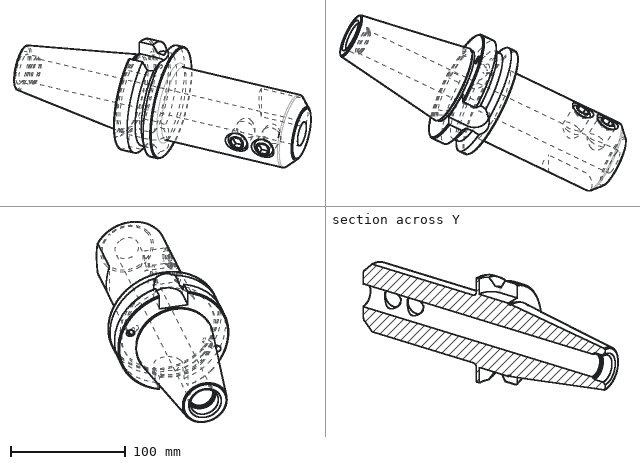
import cadquery as cq
import math


LENGTH = 261.8
FLANGE_RADIUS = 50.0

TAPER_LENGTH = 101.8
TAPER_LARGE_RADIUS = 34.8
TAPER_SLOPE = 7 / 48
TAPER_END_CHAMFER = 0.92
TAPER_BACK_CHAMFER = 0.8

RELIEF_RADIUS = TAPER_LARGE_RADIUS - TAPER_BACK_CHAMFER
FLANGE_START = 104.7
FLANGE_END = 139.8
FLANGE_FRONT_CHAMFER = 1.0
FLANGE_REAR_CHAMFER = 0.8
GROOVE_RADIUS = 42.5
GROOVE_CENTER = 125.1
GROOVE_FLOOR_WIDTH = 5.8
GROOVE_MOUTH_WIDTH = 15.0

SLOT_WIDTH = 25.7
SLOT_FLOOR = 35.3
SLOT_END = 136.1

COOLANT_RADIUS = 3.0
COOLANT_PITCH_RADIUS = 41.5
COOLANT_ANGLE = 20.4
COOLANT_SLANT = 35.0
COOLANT_MOUTH_DEPTH = 2.5
COOLANT_FEED_RADIUS = 2.0
COOLANT_DEPTH = 15.7

NOSE_RADIUS = 32.7
NOSE_ROOT_FILLET = 3.1
NOSE_CONE_LENGTH = 9.7
CONE_ANGLE = math.radians(45)
NOSE_EDGE_FILLET = 2.0
NOSE_TIP_CHAMFER = 0.8

FLAT_HEIGHT = 28.8
FLAT_START = 212.5

BORE_RADIUS = 10.7
PILOT_RADIUS = 12.5
PILOT_DEPTH = 11.5
PILOT_CHAMFER = 2.0
STEP_RADIUS = 11.5
STEP_LENGTH = 1.5

SCREW_POSITIONS = (213.4, 237.7)
SCREW_RADIUS = 8.6
SCREW_CHAMFER = 2.4
SCREW_HEAD_DISTANCE = 32.5
SCREW_TIP_DISTANCE = 11.8
SCREW_COUNTERSINK_RADIUS = 10.5
SCREW_COUNTERSINK_DEPTH = 2.4
HEX_SIDES = 6
HEX_WIDTH = 10.0
HEX_DEPTH = 5.0


def edge_fillet_point(angle):
    """Point (x, radius) on the fillet between nose and cone, at an angle from the nose surface."""
    start = LENGTH - NOSE_CONE_LENGTH - NOSE_EDGE_FILLET * math.tan(CONE_ANGLE / 2)
    x = start + NOSE_EDGE_FILLET * math.sin(angle)
    radius = NOSE_RADIUS - NOSE_EDGE_FILLET * (1 - math.cos(angle))
    return (x, radius)


def holder_blank():
    taper_small_radius = TAPER_LARGE_RADIUS - TAPER_LENGTH * TAPER_SLOPE
    floor_start = GROOVE_CENTER - GROOVE_FLOOR_WIDTH / 2
    floor_end = GROOVE_CENTER + GROOVE_FLOOR_WIDTH / 2
    mouth_start = GROOVE_CENTER - GROOVE_MOUTH_WIDTH / 2
    mouth_end = GROOVE_CENTER + GROOVE_MOUTH_WIDTH / 2
    fillet_end = FLANGE_END + NOSE_ROOT_FILLET
    fillet_bow = NOSE_ROOT_FILLET * (1 - math.sqrt(0.5))
    tip_radius = NOSE_RADIUS - NOSE_CONE_LENGTH
    profile = (
        cq.Workplane("XZ")
        .moveTo(0, 0)
        .lineTo(0, taper_small_radius - TAPER_END_CHAMFER)
        .lineTo(TAPER_END_CHAMFER, taper_small_radius + TAPER_END_CHAMFER * TAPER_SLOPE)
        .lineTo(TAPER_LENGTH, TAPER_LARGE_RADIUS)
        .lineTo(TAPER_LENGTH + TAPER_BACK_CHAMFER, RELIEF_RADIUS)
        .lineTo(FLANGE_START, RELIEF_RADIUS)
        .lineTo(FLANGE_START, FLANGE_RADIUS - FLANGE_FRONT_CHAMFER)
        .lineTo(FLANGE_START + FLANGE_FRONT_CHAMFER, FLANGE_RADIUS)
        .lineTo(mouth_start, FLANGE_RADIUS)
        .lineTo(floor_start, GROOVE_RADIUS)
        .lineTo(floor_end, GROOVE_RADIUS)
        .lineTo(mouth_end, FLANGE_RADIUS)
        .lineTo(FLANGE_END - FLANGE_REAR_CHAMFER, FLANGE_RADIUS)
        .lineTo(FLANGE_END, FLANGE_RADIUS - FLANGE_REAR_CHAMFER)
        .lineTo(FLANGE_END, NOSE_RADIUS + NOSE_ROOT_FILLET)
        .threePointArc(
            (FLANGE_END + fillet_bow, NOSE_RADIUS + fillet_bow),
            (fillet_end, NOSE_RADIUS),
        )
        .lineTo(*edge_fillet_point(0))
        .threePointArc(edge_fillet_point(CONE_ANGLE / 2), edge_fillet_point(CONE_ANGLE))
        .lineTo(LENGTH - NOSE_TIP_CHAMFER, tip_radius + NOSE_TIP_CHAMFER)
        .lineTo(LENGTH, tip_radius - NOSE_TIP_CHAMFER)
        .lineTo(LENGTH, 0)
        .close()
    )
    return profile.revolve(360, (0, 0, 0), (1, 0, 0))


def bore():
    step_end = PILOT_DEPTH + STEP_LENGTH
    return (
        cq.Workplane("XZ")
        .moveTo(0, 0)
        .lineTo(0, PILOT_RADIUS + PILOT_CHAMFER)
        .lineTo(PILOT_CHAMFER, PILOT_RADIUS)
        .lineTo(PILOT_DEPTH, PILOT_RADIUS)
        .lineTo(PILOT_DEPTH, STEP_RADIUS)
        .lineTo(step_end, STEP_RADIUS)
        .lineTo(step_end + STEP_RADIUS - BORE_RADIUS, BORE_RADIUS)
        .lineTo(LENGTH, BORE_RADIUS)
        .lineTo(LENGTH, 0)
        .close()
        .revolve(360, (0, 0, 0), (1, 0, 0))
    )


def drive_slot():
    round_center = SLOT_END - SLOT_WIDTH / 2
    straight_length = round_center - FLANGE_START
    height = FLANGE_RADIUS - SLOT_FLOOR
    straight = cq.Workplane("XY").box(straight_length, SLOT_WIDTH, height, centered=(False, True, False))
    straight = straight.translate((FLANGE_START, 0, SLOT_FLOOR))
    end = cq.Workplane("XY").circle(SLOT_WIDTH / 2).extrude(height).translate((round_center, 0, SLOT_FLOOR))
    return straight.union(end)


def coolant_hole():
    slant = math.radians(COOLANT_SLANT)
    direction = cq.Vector(math.cos(slant), -math.sin(slant), 0)
    mouth = cq.Vector(FLANGE_START, COOLANT_PITCH_RADIUS, 0)
    start = mouth - direction * COOLANT_RADIUS
    mouth_hole = cq.Solid.makeCylinder(COOLANT_RADIUS, COOLANT_MOUTH_DEPTH + COOLANT_RADIUS, start, direction)
    feed_hole = cq.Solid.makeCylinder(COOLANT_FEED_RADIUS, COOLANT_DEPTH, mouth, direction)
    return cq.Workplane(obj=mouth_hole.fuse(feed_hole)).rotate((0, 0, 0), (1, 0, 0), COOLANT_ANGLE)


def balancing_flat():
    depth = NOSE_RADIUS - FLAT_HEIGHT
    return (
        cq.Workplane("XY")
        .moveTo(FLAT_START - depth, NOSE_RADIUS)
        .lineTo(FLAT_START, FLAT_HEIGHT)
        .lineTo(LENGTH, FLAT_HEIGHT)
        .lineTo(LENGTH, NOSE_RADIUS)
        .close()
        .extrude(NOSE_RADIUS, both=True)
    )


def screw_hole(x):
    return (
        cq.Workplane("XY")
        .moveTo(0, 0)
        .lineTo(SCREW_RADIUS, 0)
        .lineTo(SCREW_RADIUS, -NOSE_RADIUS + SCREW_COUNTERSINK_DEPTH)
        .lineTo(SCREW_COUNTERSINK_RADIUS, -NOSE_RADIUS)
        .lineTo(0, -NOSE_RADIUS)
        .close()
        .revolve(360, (0, 0, 0), (0, 1, 0))
        .translate((x, 0, 0))
    )


def make_housing():
    housing = holder_blank().cut(bore())
    for turn in (0, 180):
        housing = housing.cut(drive_slot().rotate((0, 0, 0), (1, 0, 0), turn))
        housing = housing.cut(coolant_hole().rotate((0, 0, 0), (1, 0, 0), turn))
    housing = housing.cut(balancing_flat())
    for x in SCREW_POSITIONS:
        housing = housing.cut(screw_hole(x))
    return housing


def make_screw(x):
    body = (
        cq.Workplane("XZ", origin=(x, -SCREW_TIP_DISTANCE, 0))
        .circle(SCREW_RADIUS)
        .extrude(SCREW_HEAD_DISTANCE - SCREW_TIP_DISTANCE)
        .faces("<Y")
        .chamfer(SCREW_CHAMFER)
    )
    half_side_angle = 180 / HEX_SIDES
    socket = (
        cq.Workplane("XZ", origin=(x, -SCREW_HEAD_DISTANCE, 0))
        .polygon(HEX_SIDES, HEX_WIDTH, circumscribed=True)
        .extrude(-HEX_DEPTH)
        .rotate((x, 0, 0), (x, 1, 0), half_side_angle)
    )
    return body.cut(socket)


housing = make_housing()
screws = [make_screw(x) for x in SCREW_POSITIONS]
result = cq.Compound.makeCompound([housing.val(), *[screw.val() for screw in screws]])